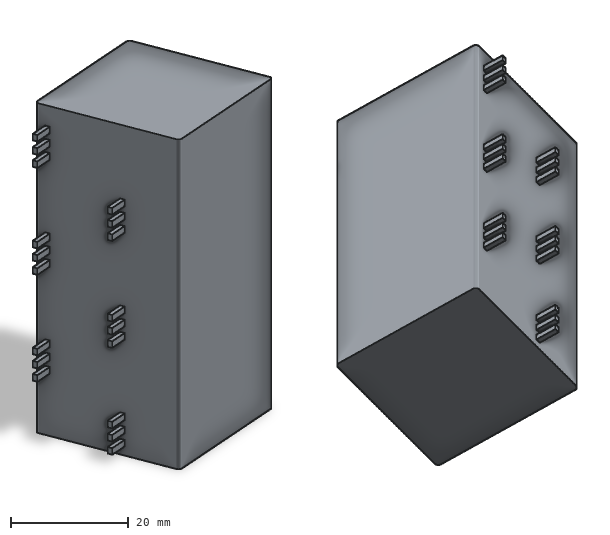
import cadquery as cq

BODY_WIDTH = 29.0
BODY_DEPTH = 30.0
BODY_HEIGHT = 61.8
EDGE_RADIUS = 0.75

PIN_LENGTH = 4.0
PIN_WIDTH = 0.9
PIN_HEIGHT = 1.25

PINS_PER_GROUP = 3
PIN_PITCH = 2.5
GROUPS_PER_COLUMN = 3
GROUP_PITCH = 20.0
COLUMN_SPACING = 15.0
COLUMN_STAGGER = GROUP_PITCH / 2
FIRST_PIN_FROM_LEFT = 2.5
FIRST_PIN_FROM_TOP = 4.45

FRONT_Y = -BODY_DEPTH / 2


def make_body():
    """Block with its four upright edges rounded."""
    return cq.Workplane("XY").box(BODY_WIDTH, BODY_DEPTH, BODY_HEIGHT).edges("|Z").fillet(EDGE_RADIUS)


def column_points(x, top_z):
    """Pin centres (X, Z) of one column, working down from its top pin."""
    return [
        (x, top_z - group * GROUP_PITCH - pin * PIN_PITCH)
        for group in range(GROUPS_PER_COLUMN)
        for pin in range(PINS_PER_GROUP)
    ]


def make_pins():
    """All pins of both columns, the right column set lower by the stagger."""
    left_x = FIRST_PIN_FROM_LEFT - BODY_WIDTH / 2
    top_z = BODY_HEIGHT / 2 - FIRST_PIN_FROM_TOP
    left_column = column_points(left_x, top_z)
    right_column = column_points(left_x + COLUMN_SPACING, top_z - COLUMN_STAGGER)
    return (
        cq.Workplane("XZ", origin=(0, FRONT_Y, 0))
        .pushPoints(left_column + right_column)
        .rect(PIN_WIDTH, PIN_HEIGHT)
        .extrude(PIN_LENGTH)
    )


result = make_body().union(make_pins())